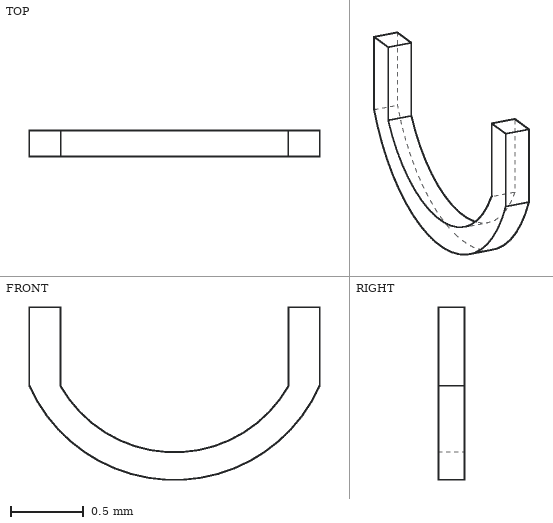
import cadquery as cq
import math

width = 2.0
height = 1.19
thickness = 0.18
leg_width = 0.215
outer_leg_length = 0.54
band_width = 0.192

outer_half = width / 2
outer_sag = height - outer_leg_length
outer_radius = (outer_half**2 + outer_sag**2) / (2 * outer_sag)

inner_half = outer_half - leg_width
inner_radius = outer_radius - band_width
arc_center_z = outer_radius - height
inner_corner_z = arc_center_z - math.sqrt(inner_radius**2 - inner_half**2)
inner_bottom_z = arc_center_z - inner_radius

result = (
    cq.Workplane("XZ")
    .moveTo(-outer_half, 0)
    .lineTo(-outer_half, -outer_leg_length)
    .threePointArc((0, -height), (outer_half, -outer_leg_length))
    .lineTo(outer_half, 0)
    .lineTo(inner_half, 0)
    .lineTo(inner_half, inner_corner_z)
    .threePointArc((0, inner_bottom_z), (-inner_half, inner_corner_z))
    .lineTo(-inner_half, 0)
    .close()
    .extrude(thickness / 2, both=True)
)